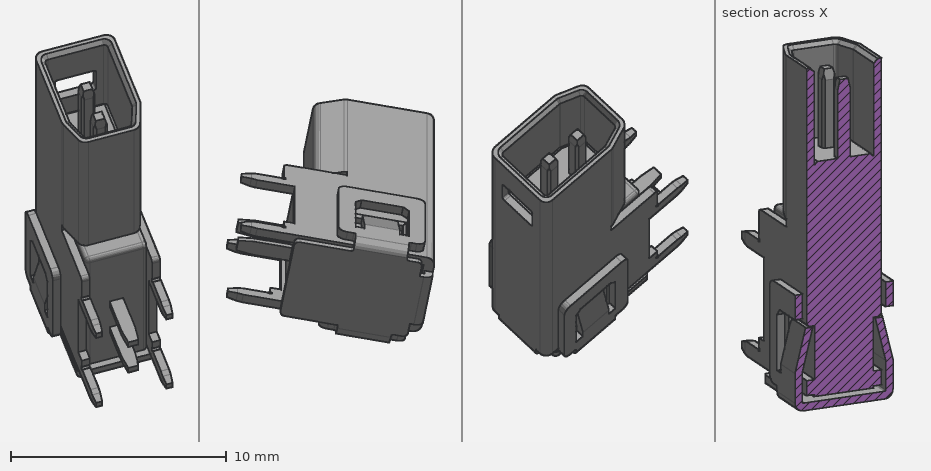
import cadquery as cq
import math

total_height = 16.7
sheet = 0.4
bend_radius = 0.45

shell_half_width = 1.92
shell_depth = 5.66
shell_bottom = 0.72
taper_start = 4.26
taper_angle = 20.0
shell_corner = 0.42
smallest_corner = 0.17
lip_chamfer = 0.2

window_width = 2.0
window_bottom = 13.2
window_top = 14.7
window_corner = 0.13

wing_top = 8.32
wing_front = 7.16
wing_recess = 6.65
wing_step = 2.0
wing_corner = 0.2
leg_reach = 9.15
leg_half_height = 0.35
leg_neck_half_height = 0.28
leg_tip_half_height = 0.17
leg_taper_start = 8.45
leg_neck = 8.72
upper_leg = 6.43
lower_leg = shell_bottom + leg_half_height
leg_tip_thinning = 0.05
relief_radius = 0.08

housing_back = 0.5
housing_front = 6.48
housing_bottom = 0.62
housing_ledge = 8.7
housing_rounding = 0.22
floor_height = 12.1
floor_chamfer = 0.15

contacts = [(2.05, 2.89), (3.85, 4.88)]
pin_width = 0.67
pin_edge_chamfer = 0.12
pin_top = 15.95
pin_top_width = 0.43
pin_taper_height = 0.5
tail_thickness = 0.37
tail_reach = 9.0
tail_taper_start = 8.27
tail_tip_width = 0.5

overall_width = 5.05
base_back = 0.62
base_front = wing_recess
base_corner = 0.22
tab_fillet = 0.1
back_tab_half_width = 1.24
plate_back = base_back
plate_front = 4.7
plate_top = 5.73
plate_corner = 0.4
tab_back = 1.37
tab_front = 3.89

opening_bottom = 1.47
opening_shoulder = 4.2
opening_top = 4.51
opening_top_inset = 0.28
tongue_back = 1.8
tongue_front = 3.47
tongue_root = 1.9
tongue_top = 4.07
tongue_corner = 0.25
tongue_slope = 0.25

pocket_back = 1.52
pocket_front = 3.9
pocket_bottom = 1.47
pocket_chamfer = 0.13

knee_start = taper_start - shell_corner * math.tan(math.radians(taper_angle / 2))
shell_inner_half_width = shell_half_width - sheet
plate_outer = overall_width / 2
wing_back = knee_start - sheet
plate_inner = plate_outer - sheet
bend_inner_radius = bend_radius - sheet
plate_joint = shell_bottom + plate_corner
back_joint = shell_bottom + sheet


def block(x0, x1, y0, y1, z0, z1):
    return cq.Workplane("XY").box(x1 - x0, y1 - y0, z1 - z0, centered=False).translate((x0, y0, z0))


def both_sides(body):
    return body.union(body.mirror("XZ"))


def tube(inset, bottom, top):
    """Five-sided rounded prism, inset from the outside of the shroud."""
    slope = math.radians(taper_angle)
    half_width = shell_half_width - inset
    front = shell_depth - inset
    knee = taper_start - inset * math.tan(slope / 2)
    nose = half_width - (front - knee) * math.tan(slope)
    outline = [(inset, -half_width), (knee, -half_width), (front, -nose),
               (front, nose), (knee, half_width), (inset, half_width)]
    body = cq.Workplane("XY").workplane(offset=bottom).polyline(outline).close().extrude(top - bottom)
    corner = max(shell_corner - inset, smallest_corner)
    return body.edges("|Z").fillet(corner)


def make_shroud():
    """Hollow tube with a chamfered lip, a raised floor, a back window and a cut-away under its nose."""
    shroud = tube(0, shell_bottom, total_height)
    shroud = shroud.cut(tube(sheet, floor_height - floor_chamfer, total_height))
    lip_edges = shroud.faces(">Z").val().innerWires()[0].Edges()
    shroud = cq.Workplane(shroud.val().chamfer(lip_chamfer, None, lip_edges))
    floor = tube(sheet, floor_height - floor_chamfer - sheet, floor_height).faces(">Z").chamfer(floor_chamfer)
    window = block(0, sheet, -window_width / 2, window_width / 2, window_bottom, window_top)
    shroud = shroud.union(floor).cut(window.edges("|X").fillet(window_corner))
    below_nose = block(knee_start, shell_depth, -shell_half_width, shell_half_width,
                       shell_bottom, housing_ledge)
    return shroud.cut(below_nose)


def leg_outline(z):
    """Points (X, Z) around a solder leg centred at height z, from its upper root to its lower taper."""
    return [(wing_front, z + leg_half_height), (leg_taper_start, z + leg_half_height),
            (leg_neck, z + leg_neck_half_height), (leg_reach, z + leg_tip_half_height),
            (leg_reach, z - leg_tip_half_height), (leg_neck, z - leg_neck_half_height),
            (leg_taper_start, z - leg_half_height)]


def make_wing():
    """Side wall of the lower part, with two tapered solder legs."""
    outline = [(wing_back, shell_bottom), (wing_back, wing_top), (wing_front, wing_top)]
    outline += leg_outline(upper_leg)
    outline += [(wing_recess, upper_leg - leg_half_height), (wing_recess, wing_step), (wing_front, wing_step)]
    outline += leg_outline(lower_leg)
    wing = cq.Workplane("XZ", origin=(0, -shell_inner_half_width, 0)).polyline(outline).close().extrude(sheet)
    top_corner = cq.selectors.NearestToPointSelector((wing_front, -shell_half_width + sheet / 2, wing_top))
    wing = wing.edges(top_corner).fillet(wing_corner)
    roots = [(wing_front, z + leg_half_height) for z in (upper_leg, lower_leg)]
    reliefs = (cq.Workplane("XZ", origin=(0, -shell_inner_half_width, 0))
               .pushPoints(roots).circle(relief_radius).extrude(sheet))
    inside = -shell_inner_half_width
    outside = -shell_half_width
    plan = [(wing_back, outside), (leg_neck, outside), (leg_reach, outside + leg_tip_thinning),
            (leg_reach, inside - leg_tip_thinning), (leg_neck, inside), (wing_back, inside)]
    return wing.cut(reliefs).intersect(cq.Workplane("XY").polyline(plan).close().extrude(wing_top))


def make_housing():
    """Plastic body filling the lower part, with a rounded ledge in front of the tube."""
    half = shell_inner_half_width
    housing = block(housing_back, housing_front, -half, half, housing_bottom, housing_ledge)
    housing = housing.edges("|Z and >X").fillet(housing_rounding)
    return housing.faces(">Z").edges("not <X").fillet(housing_rounding)


def make_contact(x, tail_z):
    """Right-angle contact: vertical pin with a tapered tip and a flat tail towards +X."""
    half = pin_width / 2
    shaft_top = pin_top - pin_taper_height
    pin = block(x - half, x + half, -half, half, tail_z, pin_top).edges("|Z").chamfer(pin_edge_chamfer)
    envelope = block(x - half, x + half, -half, half, tail_z, shaft_top)
    tip = (cq.Workplane("XY", origin=(x, 0, shaft_top)).rect(pin_width, pin_width)
           .workplane(offset=pin_taper_height).rect(pin_top_width, pin_top_width).loft())
    tip_half = tail_tip_width / 2
    tail_outline = [(x, -half), (tail_taper_start, -half), (tail_reach, -tip_half),
                    (tail_reach, tip_half), (tail_taper_start, half), (x, half)]
    tail = (cq.Workplane("XY", origin=(0, 0, tail_z - tail_thickness / 2))
            .polyline(tail_outline).close().extrude(tail_thickness))
    return pin.intersect(envelope.union(tip)).union(tail)


def bent_strip(plane, outer, top, width):
    """Strip from the centre out to the given outer position, then bent up to the given top."""
    inner = outer - sheet
    return (cq.Workplane(plane).lineTo(outer - bend_radius, 0)
            .radiusArc((outer, bend_radius), -bend_radius)
            .lineTo(outer, top).lineTo(inner, top).lineTo(inner, bend_radius)
            .radiusArc((inner - bend_inner_radius, sheet), bend_inner_radius)
            .lineTo(0, sheet).close().extrude(width / 2, both=True))


def make_base():
    """Bottom plate, with one bend up to the back wall and one up to each side plate."""
    plate = block(base_back, base_front, -shell_half_width, shell_half_width, 0, sheet)
    plate = plate.edges("|Z").fillet(base_corner)
    side_bends = bent_strip("YZ", plate_outer, plate_joint, tab_front - tab_back)
    side_bends = both_sides(side_bends.translate(((tab_back + tab_front) / 2, 0, 0)))
    back_bend = bent_strip("XZ", base_front, back_joint, 2 * back_tab_half_width)
    back_bend = back_bend.rotate((0, 0, 0), (0, 0, 1), 180).translate((base_front, 0, 0))
    base = plate.union(side_bends).union(back_bend)
    for x in (tab_back, tab_front):
        for y in (-shell_half_width, shell_half_width):
            root = cq.selectors.NearestToPointSelector((x, y, sheet / 2))
            base = base.edges(root).fillet(tab_fillet)
    return base


def make_spring_plate():
    """Side plate with an opening whose latch tongue leans inwards against the shroud."""
    plate = block(plate_back, plate_front, -plate_outer, -plate_inner, shell_bottom, plate_top)
    plate = plate.edges("|Y").fillet(plate_corner)
    opening_outline = [(tab_back, opening_bottom), (tab_back, opening_shoulder),
                       (tab_back + opening_top_inset, opening_top),
                       (tab_front - opening_top_inset, opening_top),
                       (tab_front, opening_shoulder), (tab_front, opening_bottom)]
    opening = cq.Workplane("XZ", origin=(0, -plate_inner, 0)).polyline(opening_outline).close().extrude(sheet)
    tongue_width = tongue_front - tongue_back
    stub = block(tongue_back, tongue_front, -plate_outer, -plate_inner, opening_bottom, tongue_root)
    lean = tongue_slope * (tongue_top - tongue_root)
    tongue_section = [(-plate_outer, tongue_root), (-plate_outer + lean, tongue_top),
                      (-plate_inner + lean, tongue_top), (-plate_inner, tongue_root)]
    tongue = (cq.Workplane("YZ", origin=(tongue_back, 0, 0))
              .polyline(tongue_section).close().extrude(tongue_width))
    front_shape = block(tongue_back, tongue_front, -plate_outer, 0, opening_bottom, tongue_top)
    front_shape = front_shape.faces(">Z").edges("|Y").fillet(tongue_corner)
    return plate.cut(opening).union(stub).union(tongue.intersect(front_shape))


def make_base_with_plates():
    """Base joined to both spring plates, with small fillets where the side tabs meet the plates."""
    base = make_base().union(both_sides(make_spring_plate()))
    plate_middle = plate_outer - sheet / 2
    for x in (tab_back, tab_front):
        for y in (-plate_middle, plate_middle):
            root = cq.selectors.NearestToPointSelector((x, y, shell_bottom))
            base = base.edges(root).fillet(tab_fillet)
    return base


def make_pocket():
    """Recess in the side of the shroud, bevelled along its back and top edges."""
    mouth = -shell_half_width
    pocket = block(pocket_back, pocket_front, mouth, mouth + sheet, pocket_bottom, tongue_top)
    bevel = (cq.Workplane("XZ", origin=(0, mouth, 0))
             .polyline([(pocket_back - pocket_chamfer, pocket_bottom), (pocket_front, pocket_bottom),
                        (pocket_front, tongue_top + pocket_chamfer),
                        (pocket_back - pocket_chamfer, tongue_top + pocket_chamfer)]).close()
             .workplane(offset=-pocket_chamfer)
             .polyline([(pocket_back, pocket_bottom), (pocket_front, pocket_bottom),
                        (pocket_front, tongue_top), (pocket_back, tongue_top)]).close()
             .loft(ruled=True))
    return pocket.union(bevel)


body = make_shroud().union(both_sides(make_wing())).union(make_housing())
body = body.cut(both_sides(make_pocket()))
for pin_x, tail_height in contacts:
    body = body.union(make_contact(pin_x, tail_height))
result = body.union(make_base_with_plates()).solids()